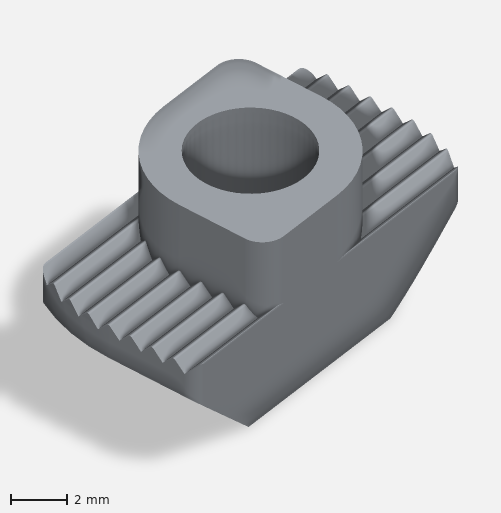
import cadquery as cq
import math

length = 16.0
width = 8.0
height = 7.5
plate_height = 4.5
bottom_length = 10.0
plate_corner_radius = 0.5
boss_corner_radius = 1.0
hole_diameter = 4.91
groove_count = 8
crest_radius = 0.1
side_edge_radius = 0.24

half_length = length / 2
half_width = width / 2
bottom_half_length = bottom_length / 2
bevel_height = half_length - bottom_half_length
tooth_pitch = width / groove_count
crest_half_width = crest_radius * math.sin(math.pi / 4)
crest_rise = crest_radius - crest_half_width
groove_half_width = tooth_pitch / 2 - crest_half_width
side_round_width = side_edge_radius * (1 - math.cos(math.pi / 4))
side_round_drop = side_edge_radius * math.tan(math.pi / 8)
groove_depth = crest_rise + groove_half_width


def turning_outline(half_y):
    """Rectangle with its +X+Y and -X-Y corners cut by an arc about the origin."""
    end_y = math.sqrt(half_y**2 - half_width**2)
    mid_angle = (math.pi / 2 + math.atan2(end_y, half_width)) / 2
    mid_x = half_y * math.cos(mid_angle)
    mid_y = half_y * math.sin(mid_angle)
    return (
        cq.Workplane("XY")
        .moveTo(-half_width, half_y)
        .lineTo(0, half_y)
        .threePointArc((mid_x, mid_y), (half_width, end_y))
        .lineTo(half_width, -half_y)
        .lineTo(0, -half_y)
        .threePointArc((-mid_x, -mid_y), (-half_width, -end_y))
        .close()
    )


def make_bevel_limit():
    """Body whose ends slope at 45 degrees: flat on one half, conical on the turning half."""
    profile = [
        (0, 0),
        (bottom_half_length, 0),
        (half_length, bevel_height),
        (half_length, plate_height),
        (0, plate_height),
    ]
    cone = cq.Workplane("XZ").polyline(profile).close().revolve(360, (0, 0), (0, 1))
    wedge = cq.Workplane("YZ").polyline(profile).close().extrude(-half_width)
    opposite_wedge = wedge.rotate((0, 0, 0), (0, 0, 1), 180)
    return cone.union(wedge).union(opposite_wedge)


def make_plate():
    """Lower plate with rounded corners and bevelled ends."""
    plate = turning_outline(half_length).extrude(plate_height)
    plate = plate.edges("|Z").edges("<X or >X").fillet(plate_corner_radius)
    return plate.intersect(make_bevel_limit())


def cut_serrations(plate):
    """Cut 90 degree grooves along Y, leaving rounded crests between them."""
    mid_rise = crest_radius * (1 - math.cos(math.pi / 8))
    mid_offset = crest_radius * math.sin(math.pi / 8)
    flank_top = plate_height - crest_rise
    for index in range(groove_count):
        left_crest = -half_width + index * tooth_pitch
        right_crest = left_crest + tooth_pitch
        groove = (
            cq.Workplane("XZ")
            .moveTo(left_crest, plate_height)
            .threePointArc(
                (left_crest + mid_offset, plate_height - mid_rise),
                (left_crest + crest_half_width, flank_top),
            )
            .lineTo(left_crest + tooth_pitch / 2, plate_height - groove_depth)
            .lineTo(right_crest - crest_half_width, flank_top)
            .threePointArc(
                (right_crest - mid_offset, plate_height - mid_rise),
                (right_crest, plate_height),
            )
            .close()
            .extrude(half_length, both=True)
        )
        plate = plate.cut(groove)
    return plate


def round_side_edges(plate):
    """Blend each outermost 45 degree flank into its vertical side wall."""
    sharp_crest = plate_height - crest_rise + crest_half_width
    wall_top = sharp_crest - side_round_drop
    mid_angle = math.pi / 8
    for side in (-1, 1):
        wall_x = side * half_width
        mid_x = wall_x - side * side_edge_radius * (1 - math.cos(mid_angle))
        flank_x = wall_x - side * side_round_width
        waste = (
            cq.Workplane("XZ")
            .moveTo(wall_x, wall_top)
            .threePointArc(
                (mid_x, wall_top + side_edge_radius * math.sin(mid_angle)),
                (flank_x, wall_top + side_edge_radius * math.sin(math.pi / 4)),
            )
            .lineTo(flank_x, height)
            .lineTo(wall_x, height)
            .close()
            .extrude(half_length, both=True)
        )
        plate = plate.cut(waste)
    return plate


def make_boss():
    """Upper boss, square in plan with two opposite full-arc corners."""
    boss = turning_outline(half_width).extrude(height)
    for corner in (cq.Vector(-1, 1, 0), cq.Vector(1, -1, 0)):
        outermost = cq.selectors.DirectionMinMaxSelector(corner)
        boss = boss.edges("|Z").edges(outermost).fillet(boss_corner_radius)
    return boss


plate = round_side_edges(cut_serrations(make_plate()))
hole = cq.Workplane("XY").circle(hole_diameter / 2).extrude(height)
result = plate.union(make_boss()).cut(hole)